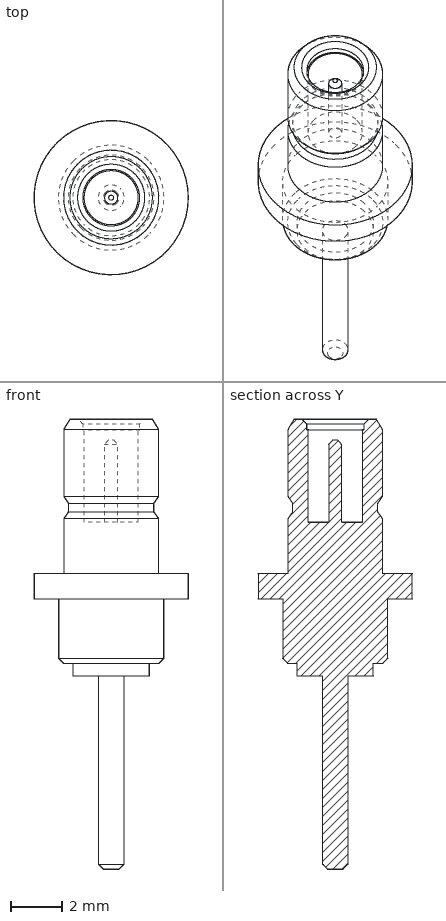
import cadquery as cq

total_length = 17.5
tail_tip_length = 0.2
collar_bottom = 7.5
barrel_bottom = 8.0
flange_bottom = 10.5
flange_top = 11.5
groove_bottom = 13.9
groove_top = 14.23

flange_diameter = 6.0
plug_diameter = 3.7
groove_diameter = 3.32
barrel_diameter = 4.1
collar_diameter = 2.98
tail_diameter = 1.0
tail_tip_diameter = 0.6

nose_bevel_height = 0.4
nose_bevel_width = 0.25
groove_bevel_height = 0.26
barrel_bevel = 0.2

mouth_diameter = 2.6
lip_diameter = 2.2
bore_diameter = 2.1
mouth_depth = 0.2
lip_depth = 0.42
bore_depth = 4.0

contact_diameter = 0.5
contact_tip_diameter = 0.2
contact_tip_length = 0.18
contact_recess = 0.8
contact_top = total_length - contact_recess
contact_root_depth = 0.18


def revolve_profile(stations):
    """Revolve (diameter, height) stations, listed from bottom to top, about Z."""
    outline = [(diameter / 2, height) for diameter, height in stations]
    bottom = stations[0][1]
    top = stations[-1][1]
    profile = cq.Workplane("XZ").polyline([(0, bottom)] + outline + [(0, top)]).close()
    return profile.revolve(360, (0, 0, 0), (0, 1, 0))


def make_body():
    """Outer shape: tail pin, collar, barrel, flange and grooved plug."""
    return revolve_profile([
        (tail_tip_diameter, 0),
        (tail_diameter, tail_tip_length),
        (tail_diameter, collar_bottom),
        (collar_diameter, collar_bottom),
        (collar_diameter, barrel_bottom),
        (barrel_diameter - 2 * barrel_bevel, barrel_bottom),
        (barrel_diameter, barrel_bottom + barrel_bevel),
        (barrel_diameter, flange_bottom),
        (flange_diameter, flange_bottom),
        (flange_diameter, flange_top),
        (plug_diameter, flange_top),
        (plug_diameter, groove_bottom - groove_bevel_height),
        (groove_diameter, groove_bottom),
        (groove_diameter, groove_top),
        (plug_diameter, groove_top + groove_bevel_height),
        (plug_diameter, total_length - nose_bevel_height),
        (plug_diameter - 2 * nose_bevel_width, total_length),
    ])


def make_socket():
    """Stepped bore with a flared mouth."""
    return revolve_profile([
        (bore_diameter, total_length - bore_depth),
        (bore_diameter, total_length - lip_depth),
        (lip_diameter, total_length - lip_depth),
        (lip_diameter, total_length - mouth_depth),
        (mouth_diameter, total_length),
    ])


def make_contact():
    """Tapered contact pin, rooted slightly below the socket floor."""
    return revolve_profile([
        (contact_diameter, total_length - bore_depth - contact_root_depth),
        (contact_diameter, contact_top - contact_tip_length),
        (contact_tip_diameter, contact_top),
    ])


result = make_body().cut(make_socket()).union(make_contact())